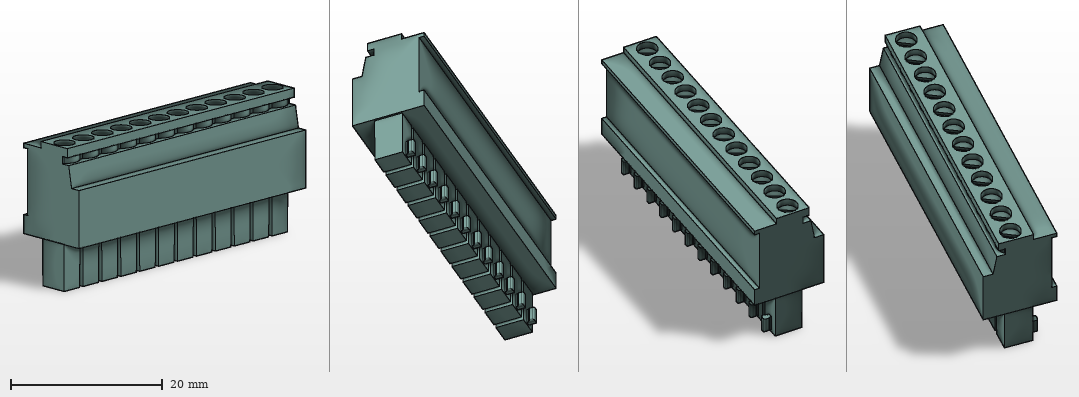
import cadquery as cq


LENGTH = 42.05
POLE_COUNT = 12
PITCH = LENGTH / POLE_COUNT

DEPTH = 10.4
HEIGHT = 19.8
HOUSING_BOTTOM = 6.55
REAR_RECESS_X = 0.7
REAR_FOOT_TOP = 9.15
REAR_LIP_BOTTOM = 18.3
REAR_LIP_TOP = 18.9
CROWN_REAR_X = 3.28
CROWN_FRONT_X = 8.2
GROOVE_BOTTOM = 17.53
GROOVE_TOP = 18.55
GROOVE_X = 7.27
SLOPE_TOP_X = 8.45
SLOPE_BOTTOM_X = 9.0
FRONT_LEDGE_TOP = 14.5

SCREW_X = 5.9
SCREW_DIAMETER = 2.8
SCREW_RECESS = 1.0
SLOT_WIDTH = 0.65
SLOT_DEPTH = 0.4
SLOT_ANGLE = -30

SLEEVE_DIAMETER = 4.08

PRONG_REAR_X = CROWN_REAR_X
PRONG_FRONT_X = GROOVE_X
PRONG_ROOT_WIDTH = 3.0
PRONG_TIP_WIDTH = 2.85

KEY_REAR_X = 2.15
KEY_BOTTOM = 0.35
KEY_TOP = 2.52
KEY_HEAD_DEPTH = 0.7
KEY_HEAD_WIDTH = 0.92
KEY_NECK_WIDTH = 0.67
KEY_TAPER_DEPTH = 0.2
KEY_ROUNDING = 0.25

pole_ys = [(i - (POLE_COUNT - 1) / 2) * PITCH for i in range(POLE_COUNT)]


def at_every_pole(shape):
    """Return copies of a shape made at y = 0, one per pole."""
    copies = cq.Workplane()
    for y in pole_ys:
        copies = copies.add(shape.translate((0, y, 0)).val())
    return copies


def make_housing():
    section = [
        (0, HOUSING_BOTTOM),
        (DEPTH, HOUSING_BOTTOM),
        (DEPTH, FRONT_LEDGE_TOP),
        (SLOPE_BOTTOM_X, FRONT_LEDGE_TOP),
        (SLOPE_TOP_X, GROOVE_BOTTOM),
        (CROWN_FRONT_X, GROOVE_BOTTOM),
        (CROWN_FRONT_X, HEIGHT),
        (CROWN_REAR_X, HEIGHT),
        (CROWN_REAR_X, REAR_LIP_TOP),
        (0, REAR_LIP_TOP),
        (0, REAR_LIP_BOTTOM),
        (REAR_RECESS_X, REAR_LIP_BOTTOM),
        (REAR_RECESS_X, REAR_FOOT_TOP),
        (0, REAR_FOOT_TOP),
    ]
    return cq.Workplane("XZ").polyline(section).close().extrude(LENGTH / 2, both=True)


def make_groove():
    """Groove under the crown, running the full length and leaving the screw sleeves standing."""
    height = GROOVE_TOP - GROOVE_BOTTOM
    channel = (
        cq.Workplane("XY", origin=((GROOVE_X + CROWN_FRONT_X) / 2, 0, GROOVE_BOTTOM))
        .rect(CROWN_FRONT_X - GROOVE_X, LENGTH)
        .extrude(height)
    )
    sleeves = (
        cq.Workplane("XY", origin=(SCREW_X, 0, GROOVE_BOTTOM))
        .pushPoints([(0, y) for y in pole_ys])
        .circle(SLEEVE_DIAMETER / 2)
        .extrude(height)
    )
    return channel.cut(sleeves)


def make_screw_recess():
    """Round recess down to the screw head, with the driver slot in the head."""
    head_z = HEIGHT - SCREW_RECESS
    recess = (
        cq.Workplane("XY", origin=(SCREW_X, 0, head_z))
        .circle(SCREW_DIAMETER / 2)
        .extrude(SCREW_RECESS)
    )
    slot_plane = cq.Workplane("XY", origin=(SCREW_X, 0, head_z - SLOT_DEPTH))
    slot_bar = (
        slot_plane.transformed(rotate=(0, 0, SLOT_ANGLE))
        .rect(SCREW_DIAMETER, SLOT_WIDTH)
        .extrude(SLOT_DEPTH)
    )
    head_cylinder = slot_plane.circle(SCREW_DIAMETER / 2).extrude(SLOT_DEPTH)
    return recess.union(slot_bar.intersect(head_cylinder))


def make_prong():
    section = [
        (-PRONG_TIP_WIDTH / 2, 0),
        (PRONG_TIP_WIDTH / 2, 0),
        (PRONG_ROOT_WIDTH / 2, HOUSING_BOTTOM),
        (-PRONG_ROOT_WIDTH / 2, HOUSING_BOTTOM),
    ]
    return (
        cq.Workplane("YZ", origin=(PRONG_REAR_X, 0, 0))
        .polyline(section)
        .close()
        .extrude(PRONG_FRONT_X - PRONG_REAR_X)
    )


def make_key():
    """T-shaped key: a head with rounded rear corners and bottom edges on a tapering neck."""
    head_x = KEY_REAR_X + KEY_HEAD_DEPTH
    neck_x = head_x + KEY_TAPER_DEPTH
    plan = [
        (KEY_REAR_X, -KEY_HEAD_WIDTH / 2),
        (head_x, -KEY_HEAD_WIDTH / 2),
        (neck_x, -KEY_NECK_WIDTH / 2),
        (PRONG_REAR_X, -KEY_NECK_WIDTH / 2),
        (PRONG_REAR_X, KEY_NECK_WIDTH / 2),
        (neck_x, KEY_NECK_WIDTH / 2),
        (head_x, KEY_HEAD_WIDTH / 2),
        (KEY_REAR_X, KEY_HEAD_WIDTH / 2),
    ]
    key = (
        cq.Workplane("XY", origin=(0, 0, KEY_BOTTOM))
        .polyline(plan)
        .close()
        .extrude(KEY_TOP - KEY_BOTTOM)
        .edges("|Z and <X")
        .fillet(KEY_ROUNDING)
    )
    round_bottomed_bar = (
        cq.Workplane("XY", origin=(0, 0, KEY_BOTTOM))
        .rect(2 * PRONG_REAR_X, KEY_HEAD_WIDTH)
        .extrude(KEY_TOP - KEY_BOTTOM)
        .edges("|X and <Z")
        .fillet(KEY_ROUNDING)
    )
    return key.intersect(round_bottomed_bar)


result = (
    make_housing()
    .cut(make_groove())
    .cut(at_every_pole(make_screw_recess()))
    .union(at_every_pole(make_prong()))
    .union(at_every_pole(make_key()))
)